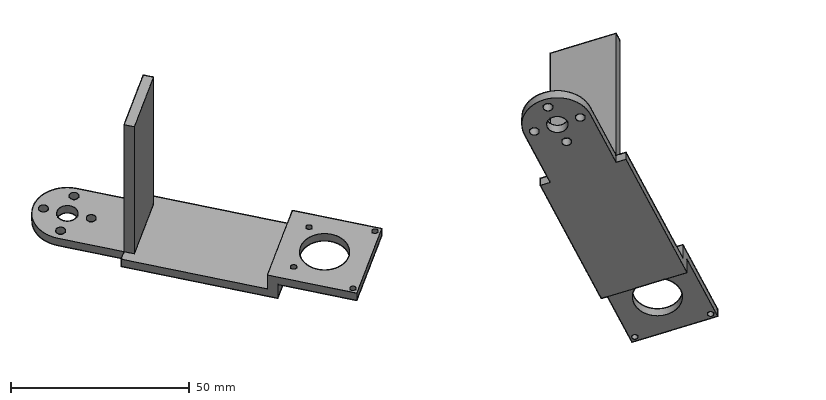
import cadquery as cq

length = 98.0
width = 26.0
height = 54.9
thickness = 3.0

tongue_width = 20.0
tongue_length = 29.3
tongue_radius = tongue_width / 2
hub_hole_diameter = 6.0
hub_screw_diameter = 2.7
hub_screw_radius = 7.0

upright_width = tongue_width

shelf_length = 26.1
shelf_top = 8.7
shelf_start = length - shelf_length
base_end = shelf_start + thickness

shelf_hole_x = length - shelf_length / 2
shelf_hole_diameter = 14.0
shelf_screw_diameter = 1.8
inner_screw_x = 78.2
inner_screw_spacing = 16.0
outer_screw_x = 96.4
outer_screw_spacing = 22.9


def make_tongue():
    """Flat tongue with a semicircular end."""
    outline = (
        cq.Workplane("XY")
        .moveTo(tongue_length, -tongue_radius)
        .lineTo(tongue_radius, -tongue_radius)
        .threePointArc((0, 0), (tongue_radius, tongue_radius))
        .lineTo(tongue_length, tongue_radius)
        .close()
    )
    return outline.extrude(thickness)


def make_stepped_base():
    """Z-shaped strip: low base, short riser and raised shelf."""
    profile = [
        (tongue_length, 0),
        (base_end, 0),
        (base_end, shelf_top - thickness),
        (length, shelf_top - thickness),
        (length, shelf_top),
        (shelf_start, shelf_top),
        (shelf_start, thickness),
        (tongue_length, thickness),
    ]
    return cq.Workplane("XZ").polyline(profile).close().extrude(width / 2, both=True)


def make_upright():
    """Vertical plate flush with the -X edge of the base."""
    return (
        cq.Workplane("XY")
        .box(thickness, upright_width, height, centered=(False, True, False))
        .translate((tongue_length, 0, 0))
    )


def through_holes(points, diameter, top):
    """Vertical cutters from the underside up to the given top face."""
    return cq.Workplane("XY").pushPoints(points).circle(diameter / 2).extrude(top)


hub_center = (tongue_radius, 0)
hub_screws = [
    (tongue_radius - hub_screw_radius, 0),
    (tongue_radius + hub_screw_radius, 0),
    (tongue_radius, -hub_screw_radius),
    (tongue_radius, hub_screw_radius),
]
shelf_screws = [
    (x, side * spacing / 2)
    for x, spacing in ((inner_screw_x, inner_screw_spacing), (outer_screw_x, outer_screw_spacing))
    for side in (-1, 1)
]

result = make_stepped_base().union(make_tongue()).union(make_upright())
result = result.cut(through_holes([hub_center], hub_hole_diameter, thickness))
result = result.cut(through_holes(hub_screws, hub_screw_diameter, thickness))
result = result.cut(through_holes([(shelf_hole_x, 0)], shelf_hole_diameter, shelf_top))
result = result.cut(through_holes(shelf_screws, shelf_screw_diameter, shelf_top))